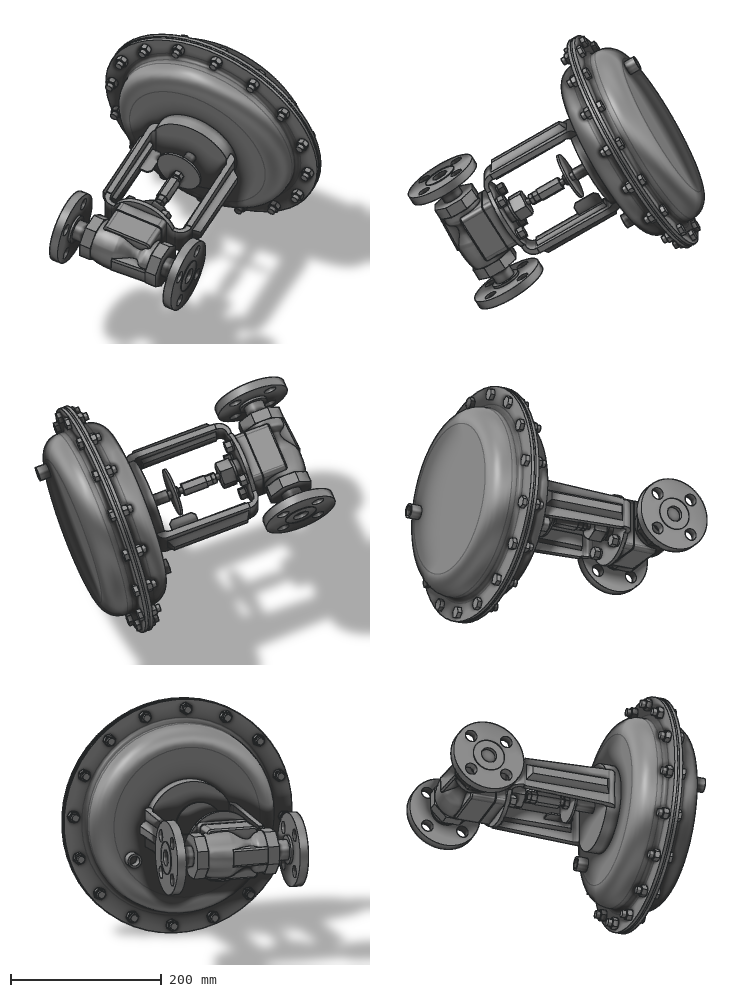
import cadquery as cq
import math


OVERALL_LENGTH = 353.5

RIM_RADIUS = 158.7
SHELL_RADIUS = 128.3
MID_PLANE = 244.0
SHELL_HALF_HEIGHT = 45.2
RIM_HALF_HEIGHT = 5.5
DIAPHRAGM_THICKNESS = 2.5
DIAPHRAGM_RADIUS = 158.5
SHELL_EDGE_RADIUS = 26.5
RIM_FILLET = 6.0
CASING_TOP = MID_PLANE + SHELL_HALF_HEIGHT
CASING_BOTTOM = MID_PLANE - SHELL_HALF_HEIGHT
RIM_TOP = MID_PLANE + RIM_HALF_HEIGHT
RIM_BOTTOM = MID_PLANE - RIM_HALF_HEIGHT

TOP_PORT_ANGLE = 7.5
BOLT_COUNT = 16
BOLT_PITCH = 360 / BOLT_COUNT
FIRST_BOLT_ANGLE = TOP_PORT_ANGLE + BOLT_PITCH / 2
BOLT_CIRCLE_RADIUS = 147.0
BOLT_RADIUS = 5.0
BOLT_HEX_RADIUS = 8.0
BOLT_HEAD_HEIGHT = 6.0
BOLT_HEAD_TURN = 30
BOLT_NUT_HEIGHT = 8.5
BOLT_LENGTH_BELOW_RIM = 14.0
NUT_CHAMFER = 1.5

PORT_CIRCLE_RADIUS = 89.0
PORT_RADIUS = 9.5
PORT_BORE_RADIUS = 6.7
BOTTOM_PORT_ANGLE = 210
FLANGE_RADIUS = 49.5
TOP_PORT_HEIGHT = OVERALL_LENGTH - FLANGE_RADIUS - CASING_TOP
BOTTOM_PORT_HEIGHT = 14.5
BOSS_RADIUS = 59.5
BOSS_BOTTOM = 180.3

ROD_RADIUS = 7.8
ROD_BOTTOM = 153.8
NECK_RADIUS = 5.3
STEM_RADIUS = 4.2
DISC_RADIUS = 32.0
DISC_OFFSET_Z = 6.5
DISC_TOP = 148.0
DISC_BOTTOM = 145.3
STEM_NUT_RADIUS = 7.8
UPPER_NUT_BOTTOM = 138.2
COUPLING_RADIUS = 9.2
COUPLING_ANGLE = -4
COUPLING_TOP = 132.2
COUPLING_BOTTOM = 99.3
LOWER_NUT_TOP = 91.5
LOWER_NUT_BOTTOM = 85.2

LEG_OUTER_X = 64.0
LEG_INNER_X = 56.2
LEG_TOP = 191.5
LEG_TOP_HALF_WIDTH = 25.5
LEG_BOTTOM_HALF_WIDTH = 20.5
LEG_BOTTOM = 61.0
LEG_TOP_BEND_RADIUS = 11.5
PLATE_TOP = 50.2
PLATE_BOTTOM = 44.5
PLATE_RADIUS = 47.7
BASE_HALF_WIDTH = 19.0
RELIEF_DEPTH = 3.5
RELIEF_HEIGHT = 7.8
BEND_INNER_RADIUS = 9.2
BEND_OUTER_RADIUS = LEG_BOTTOM - PLATE_BOTTOM
RIB_TOP = 180.0
RIB_BOTTOM = 63.0
RIB_HALF_WIDTH = 11.3
OUTER_RIB_SLOPE_RUN = 6.0
OUTER_RIB_HEIGHT = 9.5
INNER_RIB_TOP = 169.5
INNER_RIB_BOTTOM = 62.0
INNER_RIB_HEIGHT = 5.5
INNER_RIB_SLOPE_RUN = 3.2
INNER_RIB_END_RUN = 1.5
SCALE_WIDTH = 16.3
SCALE_TOP = 166.5
SCALE_BOTTOM = 129.5
SCALE_CORNER = 4.5
SCALE_THICKNESS = 2.0
YOKE_BOLT_OFFSET = 25.5
YOKE_BOLT_HEX_RADIUS = 8.0
YOKE_BOLT_HEAD_BOTTOM = 52.5
YOKE_WASHER_RADIUS = 7.0

PACKING_NUT_TOP = 79.5
PACKING_NUT_BOTTOM = 60.8
PACKING_NUT_RADIUS = 18.7
PACKING_NUT_ANGLE = 35
GLAND_RADIUS = 14.0
GLAND_COLLAR_RADIUS = 15.5
GLAND_COLLAR_BOTTOM = 57.3
BLOCK_HALF_WIDTH = 35.0
BLOCK_CORNER_RADIUS = 6.0
BLOCK_BOTTOM = -4.2
BLOCK_CHAMFER = 2.0
BONNET_JOINT = 30.0
JOINT_GAP = 1.0
BODY_END_X = 57.0
OCTAGON_INNER_X = 41.5
OCTAGON_HALF_FLATS = 28.5
BODY_END_RADIUS = 28.0
BODY_BULGE_RADIUS = 31.8
BODY_BULGE_X = -10.3
BODY_WAIST_RADIUS = 19.8
BODY_WAIST_X = 20.5
BODY_FLARE_RADIUS = 27.0
BODY_FLARE_X = 29.5
BULGE_RISE = (1, 0.3)
FLARE_RISE = (1, 0.6)
WEB_HALF_WIDTH = 12.0
WEB_START_X = -7.8
WEB_START_DEPTH = 32.5
WEB_END_DEPTH = 29.5
WEB_CHAMFER = 2.5

FLANGE_INNER_X = 79.0
FLANGE_OUTER_X = 91.2
RAISED_FACE_X = 92.3
RAISED_FACE_RADIUS = 22.0
HUB_INNER_X = 76.0
HUB_RADIUS = 19.5
NIPPLE_RADIUS = 13.8
BORE_RADIUS = 10.5
BORE_DEPTH = 5.5
FLANGE_HOLE_OFFSET = 24.7
FLANGE_HOLE_RADIUS = 8.0


def cylinder_y(radius, bottom, top, x=0, z=0):
    """Cylinder along Y between two levels."""
    solid = cq.Solid.makeCylinder(radius, top - bottom, cq.Vector(x, bottom, z), cq.Vector(0, 1, 0))
    return cq.Workplane(obj=solid)


def cylinder_x(radius, start, end, y=0, z=0):
    """Cylinder along X between two stations."""
    solid = cq.Solid.makeCylinder(radius, end - start, cq.Vector(start, y, z), cq.Vector(1, 0, 0))
    return cq.Workplane(obj=solid)


def hexagon_y(radius, bottom, top, x=0, z=0, angle=0.0, rounded_ends=""):
    """Hexagonal prism along Y; rounded_ends holds "<", ">" or both for ends with a conical chamfer."""
    corners = [
        (radius * math.cos(math.radians(angle + 60 * i)), radius * math.sin(math.radians(angle + 60 * i)))
        for i in range(6)
    ]
    prism = cq.Workplane("XZ", origin=(x, bottom, z)).polyline(corners).close().extrude(bottom - top)
    if not rounded_ends:
        return prism
    envelope = cylinder_y(radius, bottom, top, x, z)
    for end in rounded_ends:
        envelope = envelope.faces(end + "Y").edges().chamfer(NUT_CHAMFER)
    return prism.intersect(envelope)


def polar(radius, angle):
    """X and Z of a point at an angle around the stem axis."""
    return radius * math.cos(math.radians(angle)), radius * math.sin(math.radians(angle))


def make_casing():
    """Upper shell and rim turned around the stem axis, mirrored below the diaphragm."""
    diaphragm_top = MID_PLANE + DIAPHRAGM_THICKNESS / 2
    sag = RIM_FILLET * (1 - math.sqrt(0.5))
    edge_centre_r = SHELL_RADIUS - SHELL_EDGE_RADIUS
    edge_centre_y = CASING_TOP - SHELL_EDGE_RADIUS
    edge_reach = SHELL_EDGE_RADIUS * math.sqrt(0.5)
    upper = (
        cq.Workplane("XY")
        .moveTo(0, diaphragm_top)
        .lineTo(RIM_RADIUS, diaphragm_top)
        .lineTo(RIM_RADIUS, RIM_TOP)
        .lineTo(SHELL_RADIUS + RIM_FILLET, RIM_TOP)
        .threePointArc((SHELL_RADIUS + sag, RIM_TOP + sag), (SHELL_RADIUS, RIM_TOP + RIM_FILLET))
        .lineTo(SHELL_RADIUS, edge_centre_y)
        .threePointArc((edge_centre_r + edge_reach, edge_centre_y + edge_reach), (edge_centre_r, CASING_TOP))
        .lineTo(0, CASING_TOP)
        .close()
        .revolve(360, (0, 0, 0), (0, 1, 0))
    )
    diaphragm = cylinder_y(DIAPHRAGM_RADIUS, MID_PLANE - DIAPHRAGM_THICKNESS / 2, diaphragm_top)
    return diaphragm.union(upper).union(upper.mirror("XZ", (0, MID_PLANE, 0)))


def make_casing_bolt(angle):
    """Bolt through the rim, with its head above and its nut and thread end below."""
    x, z = polar(BOLT_CIRCLE_RADIUS, angle)
    head = hexagon_y(BOLT_HEX_RADIUS, RIM_TOP, RIM_TOP + BOLT_HEAD_HEIGHT, x, z, angle + BOLT_HEAD_TURN)
    nut = hexagon_y(BOLT_HEX_RADIUS, RIM_BOTTOM - BOLT_NUT_HEIGHT, RIM_BOTTOM, x, z, angle, "<>")
    thread = cylinder_y(BOLT_RADIUS, RIM_BOTTOM - BOLT_LENGTH_BELOW_RIM, RIM_TOP, x, z)
    return thread.union(head).union(nut)


def make_port(angle, bottom, top):
    """Air port tube."""
    x, z = polar(PORT_CIRCLE_RADIUS, angle)
    return cylinder_y(PORT_RADIUS, bottom, top, x, z).cut(cylinder_y(PORT_BORE_RADIUS, bottom, top, x, z))


def make_stem():
    """Rod, travel disc, lock nuts and coupling, down to the packing nut."""
    stem = cylinder_y(STEM_RADIUS, PACKING_NUT_TOP, ROD_BOTTOM)
    stem = stem.union(cylinder_y(ROD_RADIUS, ROD_BOTTOM, BOSS_BOTTOM))
    stem = stem.union(cylinder_y(NECK_RADIUS, DISC_TOP, ROD_BOTTOM))
    stem = stem.union(cylinder_y(DISC_RADIUS, DISC_BOTTOM, DISC_TOP, z=DISC_OFFSET_Z))
    stem = stem.union(hexagon_y(STEM_NUT_RADIUS, UPPER_NUT_BOTTOM, DISC_BOTTOM, rounded_ends="<"))
    stem = stem.union(hexagon_y(COUPLING_RADIUS, COUPLING_BOTTOM, COUPLING_TOP, angle=COUPLING_ANGLE))
    stem = stem.union(hexagon_y(STEM_NUT_RADIUS, LOWER_NUT_TOP, COUPLING_BOTTOM))
    stem = stem.union(hexagon_y(STEM_NUT_RADIUS, LOWER_NUT_BOTTOM, LOWER_NUT_TOP, rounded_ends="<>"))
    return stem


def make_actuator():
    """Casing with its boss, ports, bolts and stem."""
    actuator = make_casing()
    actuator = actuator.union(cylinder_y(BOSS_RADIUS, BOSS_BOTTOM, CASING_BOTTOM))
    actuator = actuator.union(make_port(TOP_PORT_ANGLE, CASING_TOP, CASING_TOP + TOP_PORT_HEIGHT))
    actuator = actuator.union(make_port(BOTTOM_PORT_ANGLE, CASING_BOTTOM - BOTTOM_PORT_HEIGHT, CASING_BOTTOM))
    for i in range(BOLT_COUNT):
        actuator = actuator.union(make_casing_bolt(FIRST_BOLT_ANGLE + i * BOLT_PITCH))
    return actuator.union(make_stem())


def make_leg():
    """Right-hand leg: a plate that tapers in width and ends against the boss."""
    bend_x = LEG_OUTER_X - LEG_TOP_BEND_RADIUS
    bend_y = LEG_TOP - LEG_TOP_BEND_RADIUS
    bend_reach = LEG_TOP_BEND_RADIUS * math.sqrt(0.5)
    relief_x = LEG_INNER_X - RELIEF_DEPTH
    relief_y = BOSS_BOTTOM - RELIEF_HEIGHT
    relief_radius = (RELIEF_DEPTH**2 + RELIEF_HEIGHT**2) / (2 * RELIEF_DEPTH)
    plate = (
        cq.Workplane("XY")
        .moveTo(LEG_INNER_X, LEG_BOTTOM)
        .lineTo(LEG_OUTER_X, LEG_BOTTOM)
        .lineTo(LEG_OUTER_X, bend_y)
        .threePointArc((bend_x + bend_reach, bend_y + bend_reach), (bend_x, LEG_TOP))
        .lineTo(bend_x, BOSS_BOTTOM)
        .lineTo(relief_x, BOSS_BOTTOM)
        .radiusArc((LEG_INNER_X, relief_y), relief_radius)
        .close()
        .extrude(LEG_TOP_HALF_WIDTH, both=True)
    )
    taper = (
        cq.Workplane("YZ")
        .polyline([
            (LEG_BOTTOM, -LEG_BOTTOM_HALF_WIDTH),
            (LEG_TOP, -LEG_TOP_HALF_WIDTH),
            (LEG_TOP, LEG_TOP_HALF_WIDTH),
            (LEG_BOTTOM, LEG_BOTTOM_HALF_WIDTH),
        ])
        .close()
        .extrude(LEG_OUTER_X)
    )
    return plate.intersect(taper).cut(cylinder_y(BOSS_RADIUS, BOSS_BOTTOM, LEG_TOP))


def make_rib(base_x, top_x, bottom, top, end_run, side_run):
    """Stiffening rib: a bar with four sloped sides, rising along X from base_x to top_x."""
    def rectangle(x, inset_y, inset_z):
        return cq.Wire.makePolygon([
            cq.Vector(x, bottom + inset_y, inset_z - RIB_HALF_WIDTH),
            cq.Vector(x, top - inset_y, inset_z - RIB_HALF_WIDTH),
            cq.Vector(x, top - inset_y, RIB_HALF_WIDTH - inset_z),
            cq.Vector(x, bottom + inset_y, RIB_HALF_WIDTH - inset_z),
        ], close=True)

    loft = cq.Solid.makeLoft([rectangle(base_x, 0, 0), rectangle(top_x, end_run, side_run)], True)
    return cq.Workplane(obj=loft)


def make_bend():
    """Right-hand half of the base strip with the bend that leads up to the leg."""
    inner_reach = BEND_INNER_RADIUS * math.sqrt(0.5)
    outer_reach = BEND_OUTER_RADIUS * math.sqrt(0.5)
    inner_x = LEG_INNER_X - BEND_INNER_RADIUS
    inner_y = PLATE_TOP + BEND_INNER_RADIUS
    outer_x = LEG_OUTER_X - BEND_OUTER_RADIUS
    return (
        cq.Workplane("XY")
        .moveTo(0, PLATE_BOTTOM)
        .lineTo(outer_x, PLATE_BOTTOM)
        .threePointArc((outer_x + outer_reach, LEG_BOTTOM - outer_reach), (LEG_OUTER_X, LEG_BOTTOM))
        .lineTo(LEG_INNER_X, LEG_BOTTOM)
        .lineTo(LEG_INNER_X, inner_y)
        .threePointArc((inner_x + inner_reach, inner_y - inner_reach), (inner_x, PLATE_TOP))
        .lineTo(0, PLATE_TOP)
        .close()
        .extrude(BASE_HALF_WIDTH, both=True)
    )


def make_travel_scale():
    """Thin plate with cut corners on the inner rib of the left-hand leg."""
    root_x = INNER_RIB_HEIGHT - LEG_INNER_X
    return (
        cq.Workplane("XY")
        .center(root_x + SCALE_WIDTH / 2, (SCALE_TOP + SCALE_BOTTOM) / 2)
        .rect(SCALE_WIDTH, SCALE_TOP - SCALE_BOTTOM)
        .extrude(SCALE_THICKNESS / 2, both=True)
        .edges("|Z and >X")
        .chamfer(SCALE_CORNER)
    )


def make_yoke_bolt(x, z):
    """Bolt head and washer on the yoke plate."""
    washer = cylinder_y(YOKE_WASHER_RADIUS, PLATE_TOP, YOKE_BOLT_HEAD_BOTTOM, x, z)
    return washer.union(hexagon_y(YOKE_BOLT_HEX_RADIUS, YOKE_BOLT_HEAD_BOTTOM, PACKING_NUT_BOTTOM, x, z))


def make_yoke():
    """Plate, two ribbed legs, travel scale and bolts, with a hole for the valve gland."""
    half = make_leg().union(make_bend())
    outer_crest_x = LEG_OUTER_X + OUTER_RIB_HEIGHT
    inner_crest_x = LEG_INNER_X - INNER_RIB_HEIGHT
    half = half.union(make_rib(
        LEG_OUTER_X, outer_crest_x, RIB_BOTTOM, RIB_TOP, OUTER_RIB_SLOPE_RUN, OUTER_RIB_SLOPE_RUN
    ))
    half = half.union(make_rib(
        LEG_INNER_X, inner_crest_x, INNER_RIB_BOTTOM, INNER_RIB_TOP, INNER_RIB_END_RUN, INNER_RIB_SLOPE_RUN
    ))
    yoke = cylinder_y(PLATE_RADIUS, PLATE_BOTTOM, PLATE_TOP).union(half).union(half.mirror("YZ"))
    yoke = yoke.union(make_travel_scale())
    for x in (-YOKE_BOLT_OFFSET, YOKE_BOLT_OFFSET):
        for z in (-YOKE_BOLT_OFFSET, YOKE_BOLT_OFFSET):
            yoke = yoke.union(make_yoke_bolt(x, z))
    return yoke.cut(cylinder_y(GLAND_RADIUS, PLATE_BOTTOM, PLATE_TOP))


def make_block(half_width, bottom, top):
    """Square block around the stem axis with rounded upright corners."""
    return (
        cq.Workplane("XZ", origin=(0, bottom, 0))
        .rect(2 * half_width, 2 * half_width)
        .extrude(bottom - top)
        .edges("|Y")
        .fillet(BLOCK_CORNER_RADIUS)
    )


def make_body_shell():
    """Globe body turned around the pipe axis: a bulge, then a waist, then a flare to the outlet."""
    along_pipe = (1, 0)
    outline = [
        (BODY_BULGE_X, BODY_BULGE_RADIUS),
        (BODY_WAIST_X, BODY_WAIST_RADIUS),
        (BODY_FLARE_X, BODY_FLARE_RADIUS),
        (OCTAGON_INNER_X, BODY_END_RADIUS),
    ]
    return (
        cq.Workplane("XY")
        .moveTo(-OCTAGON_INNER_X, 0)
        .lineTo(-OCTAGON_INNER_X, BODY_END_RADIUS)
        .spline(outline, [BULGE_RISE, along_pipe, along_pipe, FLARE_RISE, along_pipe], includeCurrent=True)
        .lineTo(OCTAGON_INNER_X, 0)
        .close()
        .revolve(360, (0, 0, 0), (1, 0, 0))
    )


def make_octagon_end(start):
    """Octagonal wrench end along the pipe axis."""
    corner_diameter = 2 * OCTAGON_HALF_FLATS / math.cos(math.pi / 8)
    return (
        cq.Workplane("YZ", origin=(start, 0, 0))
        .polygon(8, corner_diameter)
        .extrude(BODY_END_X - OCTAGON_INNER_X)
        .rotate((0, 0, 0), (1, 0, 0), 180 / 8)
    )


def make_web():
    """Web under the body, sloping up to the outlet end."""
    return (
        cq.Workplane("XY")
        .polyline([
            (WEB_START_X, 0),
            (WEB_START_X, -WEB_START_DEPTH),
            (OCTAGON_INNER_X, -WEB_END_DEPTH),
            (OCTAGON_INNER_X, 0),
        ])
        .close()
        .extrude(WEB_HALF_WIDTH, both=True)
        .faces("<Y")
        .edges("not |Z")
        .chamfer(WEB_CHAMFER)
    )


def make_valve():
    """Block and bonnet, globe body with octagonal ends, gland and packing nut."""
    valve = make_block(BLOCK_HALF_WIDTH, BLOCK_BOTTOM, BONNET_JOINT)
    valve = valve.faces("<Y").edges().chamfer(BLOCK_CHAMFER)
    valve = valve.union(make_block(BLOCK_HALF_WIDTH - JOINT_GAP, BONNET_JOINT, BONNET_JOINT + JOINT_GAP))
    valve = valve.union(make_block(BLOCK_HALF_WIDTH, BONNET_JOINT + JOINT_GAP, PLATE_BOTTOM))
    valve = valve.union(make_body_shell()).union(make_web())
    valve = valve.union(make_octagon_end(OCTAGON_INNER_X)).union(make_octagon_end(-BODY_END_X))
    valve = valve.union(cylinder_y(GLAND_RADIUS, PLATE_BOTTOM, PACKING_NUT_BOTTOM))
    valve = valve.union(cylinder_y(GLAND_COLLAR_RADIUS, GLAND_COLLAR_BOTTOM, PACKING_NUT_BOTTOM))
    return valve.union(hexagon_y(
        PACKING_NUT_RADIUS, PACKING_NUT_BOTTOM, PACKING_NUT_TOP, angle=PACKING_NUT_ANGLE, rounded_ends=">"
    ))


def make_flange():
    """Right-hand flange with its hub, raised face, nipple and recessed bore."""
    flange = cylinder_x(FLANGE_RADIUS, FLANGE_INNER_X, FLANGE_OUTER_X)
    flange = flange.union(cylinder_x(RAISED_FACE_RADIUS, FLANGE_OUTER_X, RAISED_FACE_X))
    flange = flange.union(cylinder_x(HUB_RADIUS, HUB_INNER_X, FLANGE_INNER_X))
    flange = flange.union(cylinder_x(NIPPLE_RADIUS, BODY_END_X, HUB_INNER_X))
    for y in (-FLANGE_HOLE_OFFSET, FLANGE_HOLE_OFFSET):
        for z in (-FLANGE_HOLE_OFFSET, FLANGE_HOLE_OFFSET):
            flange = flange.cut(cylinder_x(FLANGE_HOLE_RADIUS, FLANGE_INNER_X, FLANGE_OUTER_X, y, z))
    return flange.cut(cylinder_x(BORE_RADIUS, RAISED_FACE_X - BORE_DEPTH, RAISED_FACE_X))


actuator = make_actuator()
yoke = make_yoke()
valve = make_valve()
flanges = [make_flange().rotate((0, 0, 0), (0, 1, 0), turn) for turn in (0, 180)]

result = cq.Compound.makeCompound([
    actuator.val(),
    yoke.val(),
    valve.val(),
    *[flange.val() for flange in flanges],
])